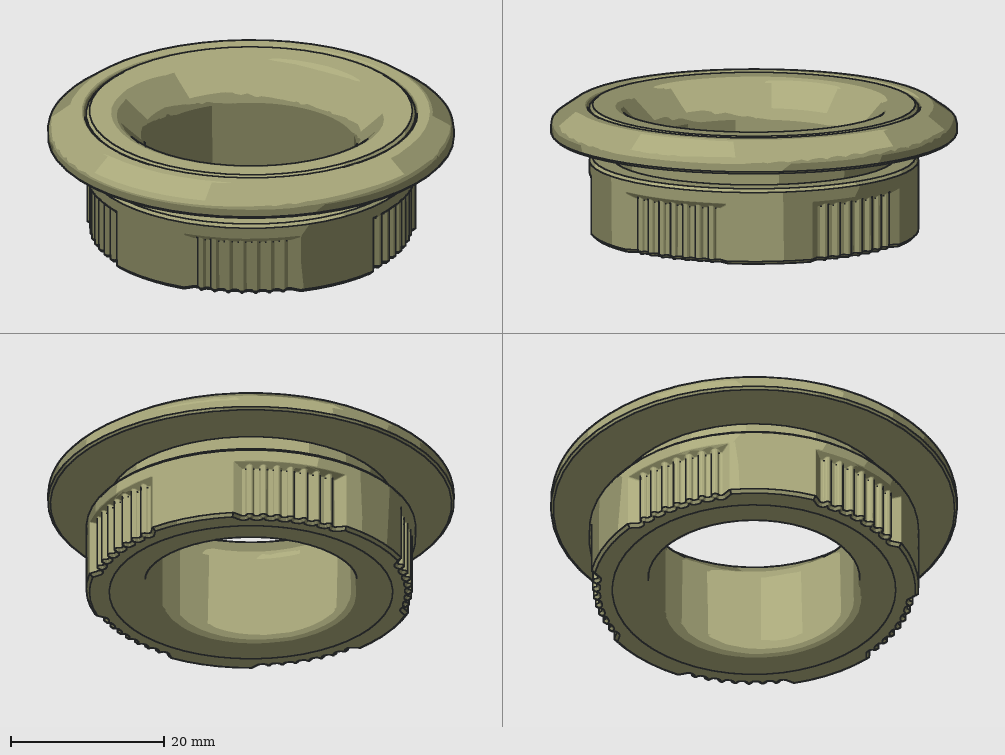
import cadquery as cq
import math

TOTAL_HEIGHT = 17.0

BORE_RADIUS = 13.8
SHANK_RADIUS = 18.5
HEAD_RADIUS = 43.0 / 2
HEAD_THICKNESS = 2.0
FUNNEL_DEPTH = 4.0
FUNNEL_RADIUS = 2.0
HEAD_CHAMFER = 0.4

RING_RADIUS = 26.5
RING_HEIGHT = 4.0
RADIAL_CLEARANCE = 0.2
BEVEL_WIDTH = 3.0
BEVEL_DROP = 2.1
BEVEL_RADIUS = 1.0
RECESS_EDGE_RADIUS = 0.5
RING_BOTTOM_CHAMFER = 0.3

NUT_RADIUS = HEAD_RADIUS
NUT_HEIGHT = 10.0
NUT_CHAMFER = 0.4

POCKET_COUNT = 5
POCKET_HALF_ANGLE = 20.7
POCKET_DEPTH = 1.0
POCKET_TOP = 8.0
POCKET_ROOF_DROP = 0.7
POCKET_WALL_FLARE = 45.0
POCKET_EDGE_RADIUS = 0.2
POCKET_FLOOR_RADIUS = NUT_RADIUS - POCKET_DEPTH

RIB_COUNT = 7
RIB_PITCH_ANGLE = 5.0
RIB_WIDTH = 1.0
RIB_CREST_RADIUS = 21.05

OVERCUT = 0.55


def revolve_profile(points):
    """Revolve a closed (radius, height) outline about the Z axis."""
    return cq.Workplane("XZ").polyline(points).close().revolve(360, (0, 0), (0, 1))


def circle_edges(body, radius, height):
    """Circular edges of a body that have the given radius and height."""
    tolerance = 0.005

    def matches(edge):
        return (
            edge.geomType() == "CIRCLE"
            and abs(edge.radius() - radius) < tolerance
            and abs(edge.Center().z - height) < tolerance
        )

    return body.newObject([edge for edge in body.edges().vals() if matches(edge)])


def make_insert():
    """Bush with a head on top, a funnel mouth and a rounded bottom rim."""
    head_bottom = TOTAL_HEIGHT - HEAD_THICKNESS
    funnel_bottom = TOTAL_HEIGHT - FUNNEL_DEPTH
    mouth_radius = BORE_RADIUS + FUNNEL_DEPTH
    insert = revolve_profile([
        (BORE_RADIUS, 0),
        (SHANK_RADIUS, 0),
        (SHANK_RADIUS, head_bottom),
        (HEAD_RADIUS, head_bottom),
        (HEAD_RADIUS, TOTAL_HEIGHT),
        (mouth_radius, TOTAL_HEIGHT),
        (BORE_RADIUS, funnel_bottom),
    ])
    insert = circle_edges(insert, BORE_RADIUS, 0).fillet(FUNNEL_RADIUS)
    insert = circle_edges(insert, BORE_RADIUS, funnel_bottom).fillet(FUNNEL_RADIUS)
    insert = circle_edges(insert, mouth_radius, TOTAL_HEIGHT).fillet(FUNNEL_RADIUS)
    return circle_edges(insert, HEAD_RADIUS, TOTAL_HEIGHT).chamfer(HEAD_CHAMFER)


def make_ring():
    """Bevelled collar with a recess for the head and a hole for the shank."""
    ring_bottom = TOTAL_HEIGHT - RING_HEIGHT
    recess_floor = TOTAL_HEIGHT - HEAD_THICKNESS
    bevel_bottom = TOTAL_HEIGHT - BEVEL_DROP
    bevel_top_radius = RING_RADIUS - BEVEL_WIDTH
    hole_radius = SHANK_RADIUS + RADIAL_CLEARANCE
    recess_radius = HEAD_RADIUS + RADIAL_CLEARANCE
    ring = revolve_profile([
        (hole_radius, ring_bottom),
        (RING_RADIUS, ring_bottom),
        (RING_RADIUS, bevel_bottom),
        (bevel_top_radius, TOTAL_HEIGHT),
        (recess_radius, TOTAL_HEIGHT),
        (recess_radius, recess_floor),
        (hole_radius, recess_floor),
    ])
    ring = circle_edges(ring, RING_RADIUS, bevel_bottom).fillet(BEVEL_RADIUS)
    ring = circle_edges(ring, bevel_top_radius, TOTAL_HEIGHT).fillet(BEVEL_RADIUS)
    ring = circle_edges(ring, recess_radius, TOTAL_HEIGHT).fillet(RECESS_EDGE_RADIUS)
    return circle_edges(ring, RING_RADIUS, ring_bottom).chamfer(RING_BOTTOM_CHAMFER)


def axis_distance(point):
    """Distance of a point from the Z axis."""
    return math.hypot(point.x, point.y)


def make_rib():
    """Round-topped rib on the +X side, buried in the pocket floor."""
    root = POCKET_FLOOR_RADIUS - OVERCUT
    round_center = RIB_CREST_RADIUS - RIB_WIDTH / 2
    return (
        cq.Workplane("XY")
        .workplane(offset=-OVERCUT)
        .moveTo(root, -RIB_WIDTH / 2)
        .lineTo(round_center, -RIB_WIDTH / 2)
        .threePointArc((RIB_CREST_RADIUS, 0), (round_center, RIB_WIDTH / 2))
        .lineTo(root, RIB_WIDTH / 2)
        .close()
        .extrude(POCKET_TOP + 2 * OVERCUT)
    )


def make_pocket_cutter():
    """Cutting shape for one pocket on the +X side, with the ribs left out of it."""
    outer = NUT_RADIUS + OVERCUT
    roof_slope = POCKET_ROOF_DROP / POCKET_DEPTH
    band = revolve_profile([
        (POCKET_FLOOR_RADIUS, -OVERCUT),
        (outer, -OVERCUT),
        (outer, POCKET_TOP + OVERCUT * roof_slope),
        (POCKET_FLOOR_RADIUS, POCKET_TOP - POCKET_ROOF_DROP),
    ])

    edge_angle = math.radians(POCKET_HALF_ANGLE)
    wall_angle = edge_angle + math.radians(POCKET_WALL_FLARE)
    edge_x = NUT_RADIUS * math.cos(edge_angle)
    edge_y = NUT_RADIUS * math.sin(edge_angle)
    inner_reach = 2 * POCKET_DEPTH
    outer_reach = 2 * OVERCUT
    inner_x = edge_x - inner_reach * math.cos(wall_angle)
    inner_y = edge_y - inner_reach * math.sin(wall_angle)
    outer_x = edge_x + outer_reach * math.cos(wall_angle)
    outer_y = edge_y + outer_reach * math.sin(wall_angle)
    wedge = (
        cq.Workplane("XY")
        .workplane(offset=-OVERCUT)
        .polyline([
            (inner_x, -inner_y),
            (outer_x, -outer_y),
            (outer + OVERCUT, -outer_y),
            (outer + OVERCUT, outer_y),
            (outer_x, outer_y),
            (inner_x, inner_y),
        ])
        .close()
        .extrude(POCKET_TOP + 2 * OVERCUT)
    )

    cutter = band.intersect(wedge)
    rib = make_rib()
    for index in range(RIB_COUNT):
        angle = (index - (RIB_COUNT - 1) / 2) * RIB_PITCH_ANGLE
        cutter = cutter.cut(rib.rotate((0, 0, 0), (0, 0, 1), angle))

    corners = []
    for edge in cutter.edges().vals():
        middle = edge.positionAt(0.5)
        if middle.z > 0 and axis_distance(middle) < NUT_RADIUS:
            corners.append(edge)
    return cutter.newObject(corners).fillet(POCKET_EDGE_RADIUS)


def pocket_mouth_edges(nut):
    """Edges where the pocket walls and roofs meet the outer surface of the nut."""
    tolerance = 0.005
    mouth = []
    for edge in nut.edges().vals():
        on_surface = all(
            abs(axis_distance(edge.positionAt(place)) - NUT_RADIUS) < tolerance
            for place in (0, 0.5, 1)
        )
        if on_surface and NUT_CHAMFER + tolerance < edge.Center().z < POCKET_TOP + tolerance:
            mouth.append(edge)
    return nut.newObject(mouth)


def make_nut():
    """Collar with ribbed pockets spaced evenly around its outside."""
    nut = cq.Workplane("XY").circle(NUT_RADIUS).circle(SHANK_RADIUS).extrude(NUT_HEIGHT)
    nut = circle_edges(nut, NUT_RADIUS, NUT_HEIGHT).chamfer(NUT_CHAMFER)
    cutter = make_pocket_cutter()
    for index in range(POCKET_COUNT):
        angle = index * 360 / POCKET_COUNT
        nut = nut.cut(cutter.rotate((0, 0, 0), (0, 0, 1), angle))
    bottom_rim = nut.faces("<Z").val().outerWire()
    nut = nut.newObject(bottom_rim.Edges()).chamfer(NUT_CHAMFER)
    return pocket_mouth_edges(nut).fillet(POCKET_EDGE_RADIUS)


insert = make_insert()
ring = make_ring()
nut = make_nut()

result = cq.Compound.makeCompound([insert.val(), ring.val(), nut.val()])